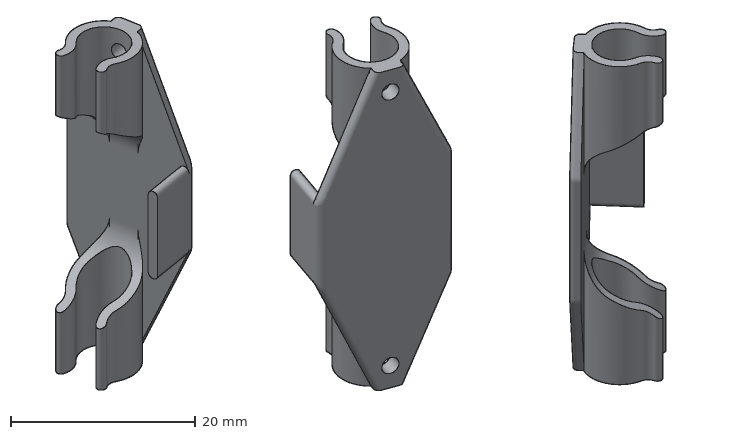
import cadquery as cq
import math

LENGTH = 42.0
DEPTH = 9.85
WIDTH = 16.2
HALF_LENGTH = LENGTH / 2

PLATE_LEFT = -7.55
PLATE_RIGHT = PLATE_LEFT + WIDTH
PLATE_THICKNESS = 1.25
END_HALF_WIDTH = 1.75
LEFT_CORNER_Z = 8.05
RIGHT_CORNER_Z = 5.2
LEFT_CORNER_RADIUS = 1.35
BACK_FILLET = 0.65
RIGHT_BACK_FILLET = 1.05

TAB_THICKNESS = 1.25
TAB_LENGTH = 11.5
TAB_DEPTH = 7.15

RING_Y = 5.0
RING_OUTER = 4.2
WALL = 1.18
RING_INNER = RING_OUTER - WALL
LIP_Y = 8.4
LIP_INNER = 1.43
LIP_OUTER = LIP_INNER + WALL
TIP_RADIUS = WALL / 2

CUT_TIP_Z = 12.95
CUT_ANGLE = 29.0
CUT_RADIUS = 5.25

HOLE_DIAMETER = 2.05
HOLE_Z = 18.05


def make_plate():
    """Elongated octagon, rounded along its back outline."""
    right_side = [
        (END_HALF_WIDTH, -HALF_LENGTH),
        (PLATE_RIGHT, -RIGHT_CORNER_Z),
        (PLATE_RIGHT, RIGHT_CORNER_Z),
        (END_HALF_WIDTH, HALF_LENGTH),
    ]
    left_side = [
        (-END_HALF_WIDTH, HALF_LENGTH),
        (PLATE_LEFT, LEFT_CORNER_Z),
        (PLATE_LEFT, -LEFT_CORNER_Z),
        (-END_HALF_WIDTH, -HALF_LENGTH),
    ]
    plate = (
        cq.Workplane("XZ", origin=(0, -PLATE_THICKNESS, 0))
        .polyline(right_side + left_side)
        .close()
        .extrude(-PLATE_THICKNESS)
    )
    left_corners = cq.selectors.BoxSelector(
        (PLATE_LEFT - 0.4, -DEPTH, -HALF_LENGTH),
        (PLATE_LEFT + 0.4, DEPTH, HALF_LENGTH),
    )
    plate = plate.edges("|Y").edges(left_corners).fillet(LEFT_CORNER_RADIUS)
    plate = plate.faces(">Y").edges(">X").fillet(RIGHT_BACK_FILLET)
    return plate.faces(">Y").edges("not(|X or >X)").fillet(BACK_FILLET)


def make_tab():
    """Upright blade with fully rounded ends."""
    tab_x = PLATE_RIGHT - TAB_THICKNESS / 2
    return (
        cq.Workplane("XZ", origin=(0, -PLATE_THICKNESS, 0))
        .center(tab_x, 0)
        .slot2D(TAB_LENGTH, TAB_THICKNESS, 90)
        .extrude(TAB_DEPTH - PLATE_THICKNESS)
    )


def make_clip():
    """Constant-wall clip section extruded over the full length."""
    center_distance = RING_OUTER + LIP_INNER
    rise = LIP_Y - RING_Y
    lip_x = math.sqrt(center_distance**2 - rise**2)
    join_angle = math.atan2(rise, lip_x)

    tip_drop = DEPTH - TIP_RADIUS - LIP_Y
    tip_angle = math.asin(tip_drop / (LIP_INNER + TIP_RADIUS))
    lip_mid_angle = (tip_angle - join_angle) / 2

    def ring_point(radius, side):
        x = radius * math.cos(join_angle)
        y = RING_Y + radius * math.sin(join_angle)
        return (side * x, -y)

    def lip_point(radius, angle, side):
        x = lip_x - radius * math.cos(angle)
        y = LIP_Y + radius * math.sin(angle)
        return (side * x, -y)

    def tip_point(side):
        x, y = lip_point(LIP_INNER + TIP_RADIUS, tip_angle, side)
        return (
            x + side * TIP_RADIUS * math.sin(tip_angle),
            y - TIP_RADIUS * math.cos(tip_angle),
        )

    return (
        cq.Workplane("XY", origin=(0, 0, -HALF_LENGTH))
        .moveTo(*ring_point(RING_OUTER, 1))
        .threePointArc((0, RING_OUTER - RING_Y), ring_point(RING_OUTER, -1))
        .threePointArc(lip_point(LIP_INNER, lip_mid_angle, -1), lip_point(LIP_INNER, tip_angle, -1))
        .threePointArc(tip_point(-1), lip_point(LIP_OUTER, tip_angle, -1))
        .threePointArc(lip_point(LIP_OUTER, lip_mid_angle, -1), ring_point(RING_INNER, -1))
        .threePointArc((0, RING_INNER - RING_Y), ring_point(RING_INNER, 1))
        .threePointArc(lip_point(LIP_OUTER, lip_mid_angle, 1), lip_point(LIP_OUTER, tip_angle, 1))
        .threePointArc(tip_point(1), lip_point(LIP_INNER, tip_angle, 1))
        .threePointArc(lip_point(LIP_INNER, lip_mid_angle, 1), ring_point(RING_OUTER, 1))
        .close()
        .extrude(LENGTH)
    )


def make_middle_cut():
    """Flared gap down to the plate face, with rounded bottom corners."""
    flare = (DEPTH - PLATE_THICKNESS) * math.tan(math.radians(CUT_ANGLE))
    floor_z = CUT_TIP_Z - flare
    outline = [
        (-DEPTH, -CUT_TIP_Z),
        (-PLATE_THICKNESS, -floor_z),
        (-PLATE_THICKNESS, floor_z),
        (-DEPTH, CUT_TIP_Z),
    ]
    cutter = (
        cq.Workplane("YZ")
        .polyline(outline)
        .close()
        .extrude(RING_OUTER * 2, both=True)
    )
    return cutter.faces(">Y").edges("|X").fillet(CUT_RADIUS)


def make_holes():
    """Two holes through the plate and the back of the clips."""
    return (
        cq.Workplane("XZ")
        .pushPoints([(0, HOLE_Z), (0, -HOLE_Z)])
        .circle(HOLE_DIAMETER / 2)
        .extrude(RING_Y)
    )


clips = make_clip().cut(make_middle_cut())
result = make_plate().union(make_tab()).union(clips).cut(make_holes())